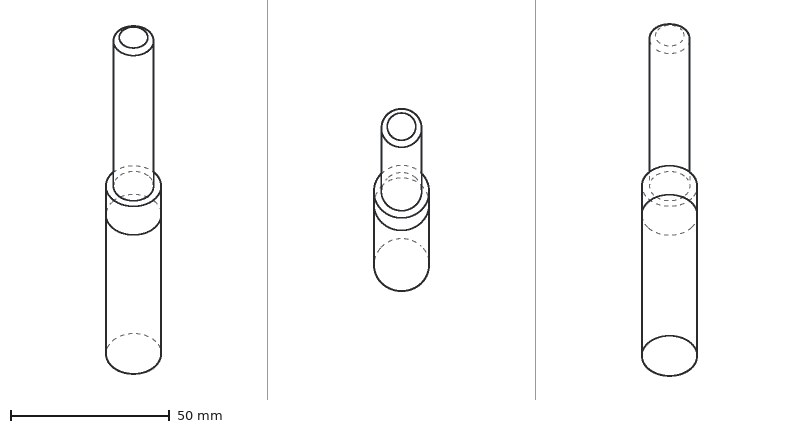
import cadquery as cq
import math

overall_length = 152.4
drill_diameter = 17.4625
shank_diameter = 12.7
point_angle = 118.0
cutting_length = 70.0
shank_length = 69.1
chamfer_height = 1.5
chamfer_width = 1.85

drill_radius = drill_diameter / 2
shank_radius = shank_diameter / 2
point_height = drill_radius / math.tan(math.radians(point_angle / 2))
collar_top = overall_length - shank_length


def make_cutting_body():
    """Cylinder with a conical point, up to the joint with the shank body."""
    half_profile = (
        cq.Workplane("XZ")
        .moveTo(0, 0)
        .lineTo(drill_radius, point_height)
        .lineTo(drill_radius, cutting_length)
        .lineTo(0, cutting_length)
        .close()
    )
    return half_profile.revolve(360, (0, 0, 0), (0, 1, 0))


def make_shank_body():
    """Full-diameter collar carrying the narrower shank with a chamfered end."""
    half_profile = (
        cq.Workplane("XZ")
        .moveTo(0, cutting_length)
        .lineTo(drill_radius, cutting_length)
        .lineTo(drill_radius, collar_top)
        .lineTo(shank_radius, collar_top)
        .lineTo(shank_radius, overall_length - chamfer_height)
        .lineTo(shank_radius - chamfer_width, overall_length)
        .lineTo(0, overall_length)
        .close()
    )
    return half_profile.revolve(360, (0, 0, 0), (0, 1, 0))


cutting_body = make_cutting_body()
shank_body = make_shank_body()

result = cq.Compound.makeCompound([cutting_body.val(), shank_body.val()])